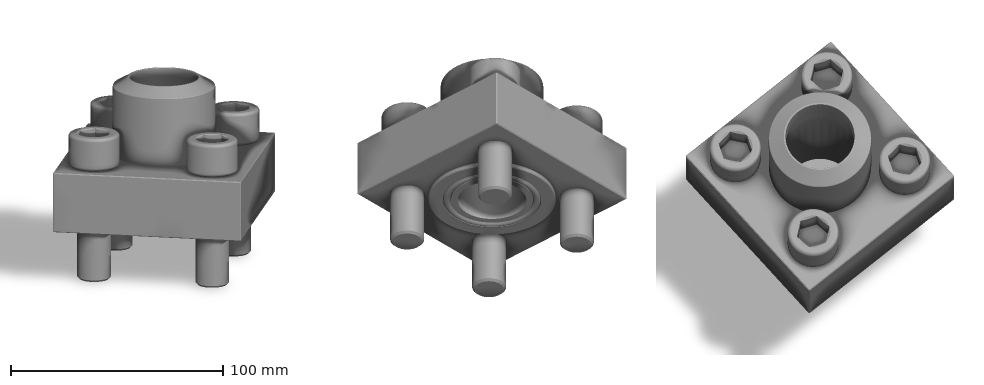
import cadquery as cq
import math

OVERALL_WIDTH = 117.2
PLATE_TURN = 22.5
PLATE_THICKNESS = 29.0
EDGE_CHAMFER = 0.45
TURN_COS = math.cos(math.radians(PLATE_TURN))
TURN_SIN = math.sin(math.radians(PLATE_TURN))
PLATE_SIDE = (OVERALL_WIDTH + 2 * EDGE_CHAMFER * TURN_SIN) / (TURN_COS + TURN_SIN)

RAISED_DIAMETER = 60.0
RAISED_HEIGHT = 2.0
PLATE_TOP = RAISED_HEIGHT + PLATE_THICKNESS

NECK_DIAMETER = 48.3
NECK_HEIGHT = 37.0
NECK_TOP = PLATE_TOP + NECK_HEIGHT
NECK_RIM_DIAMETER = 34.1
NECK_EDGE_CHAMFER = 0.2
NECK_BEVEL_ANGLE = 30.0
NECK_BEVEL_WIDTH = (NECK_DIAMETER - NECK_RIM_DIAMETER) / 2
NECK_BEVEL_HEIGHT = NECK_BEVEL_WIDTH * math.tan(math.radians(NECK_BEVEL_ANGLE))
BORE_DIAMETER = 32.4
UPPER_BORE_DIAMETER = 32.5
UPPER_BORE_DEPTH = 18.6

GROOVE_OUTER_DIAMETER = 46.4
GROOVE_INNER_DIAMETER = 38.7
GROOVE_DEPTH = 2.8
SEAL_CORD_DIAMETER = 3.5
SEAL_RING_RADIUS = (GROOVE_OUTER_DIAMETER + GROOVE_INNER_DIAMETER) / 4

BOLT_COUNT = 4
BOLT_CIRCLE_DIAMETER = 80.0
FIRST_BOLT_ANGLE = PLATE_TURN + 45.0
BOLT_HOLE_DIAMETER = 17.0
SHANK_DIAMETER = 16.0
SHANK_LENGTH = 55.0
SHANK_TIP_CHAMFER = 1.0
HEAD_DIAMETER = 24.0
HEAD_HEIGHT = 16.1
HEAD_FILLET = 1.6
SOCKET_SIDES = 6
SOCKET_CORNER_DIAMETER = 16.2
SOCKET_DEPTH = 10.5
SOCKET_LEAD_IN_ANGLE = 30.0


def bolt_angles():
    return [FIRST_BOLT_ANGLE + 360.0 / BOLT_COUNT * i for i in range(BOLT_COUNT)]


def bolt_centre(angle):
    radius = BOLT_CIRCLE_DIAMETER / 2
    return (radius * math.cos(math.radians(angle)), radius * math.sin(math.radians(angle)))


def make_plate():
    plate = cq.Workplane("XY").box(PLATE_SIDE, PLATE_SIDE, PLATE_THICKNESS, centered=(True, True, False))
    plate = plate.edges().chamfer(EDGE_CHAMFER)
    return plate.rotate((0, 0, 0), (0, 0, 1), PLATE_TURN).translate((0, 0, RAISED_HEIGHT))


def make_neck():
    neck = cq.Workplane("XY").workplane(offset=PLATE_TOP).circle(NECK_DIAMETER / 2).extrude(NECK_HEIGHT)
    neck = neck.faces(">Z").edges().chamfer(NECK_BEVEL_HEIGHT, NECK_BEVEL_WIDTH)
    shoulder = cq.selectors.NearestToPointSelector((0, 0, NECK_TOP - NECK_BEVEL_HEIGHT))
    return neck.edges(shoulder).chamfer(NECK_EDGE_CHAMFER)


def make_raised_face():
    raised = cq.Workplane("XY").circle(RAISED_DIAMETER / 2).extrude(RAISED_HEIGHT)
    return raised.faces("<Z").edges().chamfer(EDGE_CHAMFER)


def make_bore():
    """Cutter for the bore: straight at the top, tapering to the sealing face, with a broken rim."""
    lower_radius = BORE_DIAMETER / 2
    upper_radius = UPPER_BORE_DIAMETER / 2
    return (
        cq.Workplane("XZ")
        .moveTo(0, 0)
        .lineTo(lower_radius, 0)
        .lineTo(upper_radius, NECK_TOP - UPPER_BORE_DEPTH)
        .lineTo(upper_radius, NECK_TOP - NECK_EDGE_CHAMFER)
        .lineTo(upper_radius + NECK_EDGE_CHAMFER, NECK_TOP)
        .lineTo(0, NECK_TOP)
        .close()
        .revolve(360, (0, 0), (0, 1))
    )


def make_flange():
    """Plate, neck and raised face in one piece, with bore, bolt holes and seal groove."""
    flange = make_plate().union(make_neck()).union(make_raised_face())
    bolt_holes = (
        cq.Workplane("XY")
        .pushPoints([bolt_centre(angle) for angle in bolt_angles()])
        .circle(BOLT_HOLE_DIAMETER / 2)
        .extrude(PLATE_TOP)
    )
    groove = (
        cq.Workplane("XY")
        .circle(GROOVE_OUTER_DIAMETER / 2)
        .circle(GROOVE_INNER_DIAMETER / 2)
        .extrude(GROOVE_DEPTH)
    )
    return flange.cut(make_bore()).cut(bolt_holes).cut(groove)


def make_seal_ring():
    """Round-cord ring that rests on the groove floor and stands proud of the sealing face."""
    cord_height = GROOVE_DEPTH - SEAL_CORD_DIAMETER / 2
    return (
        cq.Workplane("XZ")
        .center(SEAL_RING_RADIUS, cord_height)
        .circle(SEAL_CORD_DIAMETER / 2)
        .revolve(360, (-SEAL_RING_RADIUS, 0), (-SEAL_RING_RADIUS, 1))
    )


def make_socket():
    """Hexagonal recess with a conical lead-in, cut down from the top of the head."""
    hexagon = (
        cq.Workplane("XY")
        .workplane(offset=HEAD_HEIGHT - SOCKET_DEPTH)
        .polygon(SOCKET_SIDES, SOCKET_CORNER_DIAMETER)
        .extrude(SOCKET_DEPTH)
    )
    lead_in_radius = SOCKET_CORNER_DIAMETER / 2
    lead_in_depth = lead_in_radius * math.tan(math.radians(SOCKET_LEAD_IN_ANGLE))
    lead_in_tip = cq.Vector(0, 0, HEAD_HEIGHT - lead_in_depth)
    lead_in = cq.Solid.makeCone(0, lead_in_radius, lead_in_depth, pnt=lead_in_tip)
    return hexagon.union(cq.Workplane(lead_in))


def make_bolt():
    """Socket-head bolt on the Z axis, with the underside of its head at Z = 0."""
    head = cq.Workplane("XY").circle(HEAD_DIAMETER / 2).extrude(HEAD_HEIGHT)
    head = head.edges().fillet(HEAD_FILLET)
    shank = cq.Workplane("XY").circle(SHANK_DIAMETER / 2).extrude(-SHANK_LENGTH)
    shank = shank.faces("<Z").edges().chamfer(SHANK_TIP_CHAMFER)
    return head.union(shank).cut(make_socket())


def place_bolt(angle):
    """A bolt turned with its place on the bolt circle, seated on the plate."""
    x, y = bolt_centre(angle)
    turned = make_bolt().rotate((0, 0, 0), (0, 0, 1), angle - FIRST_BOLT_ANGLE)
    return turned.translate((x, y, PLATE_TOP))


flange = make_flange()
seal_ring = make_seal_ring()
bolts = [place_bolt(angle) for angle in bolt_angles()]

result = cq.Compound.makeCompound([flange.val(), seal_ring.val(), *[bolt.val() for bolt in bolts]])